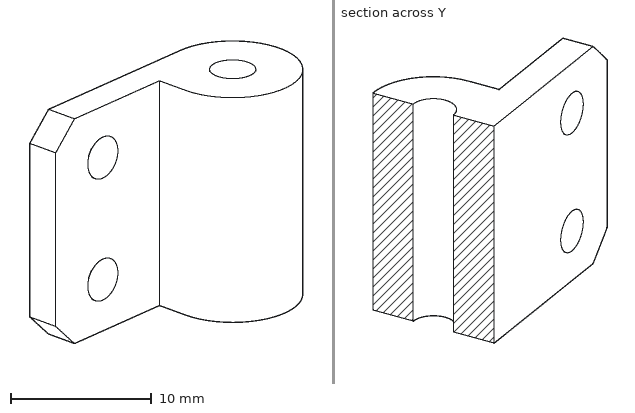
import cadquery as cq

total_length = 21.0
height = 17.5
barrel_diameter = 10.0
barrel_radius = barrel_diameter / 2

leaf_thickness = barrel_diameter / 4
corner_chamfer = 2.0
pin_hole_diameter = 3.3
screw_hole_diameter = 3.2
screw_hole_spacing = 9.5
screw_hole_edge_distance = 5.0

leaf_outer_x = -barrel_radius
leaf_inner_x = leaf_outer_x + leaf_thickness
leaf_end_y = barrel_radius - total_length


def make_body():
    """Barrel and leaf in one profile, the leaf tangent to the barrel."""
    return (
        cq.Workplane("XY")
        .moveTo(leaf_outer_x, 0)
        .lineTo(leaf_outer_x, leaf_end_y)
        .lineTo(leaf_inner_x, leaf_end_y)
        .lineTo(leaf_inner_x, -barrel_radius)
        .lineTo(0, -barrel_radius)
        .threePointArc((barrel_radius, 0), (0, barrel_radius))
        .radiusArc((leaf_outer_x, 0), -barrel_radius)
        .close()
        .extrude(height / 2, both=True)
    )


def chamfer_leaf_corners(body):
    """Cut off the top and bottom corners of the leaf's free end."""
    return body.faces("<Y").edges("|X").chamfer(corner_chamfer)


def make_pin_hole():
    return cq.Workplane("XY").circle(pin_hole_diameter / 2).extrude(height, both=True)


def make_screw_holes():
    """Two holes through the leaf, one above the other."""
    hole_y = leaf_end_y + screw_hole_edge_distance
    hole_z = screw_hole_spacing / 2
    return (
        cq.Workplane("YZ", origin=(leaf_outer_x, 0, 0))
        .pushPoints([(hole_y, -hole_z), (hole_y, hole_z)])
        .circle(screw_hole_diameter / 2)
        .extrude(leaf_thickness)
    )


result = chamfer_leaf_corners(make_body()).cut(make_pin_hole()).cut(make_screw_holes())